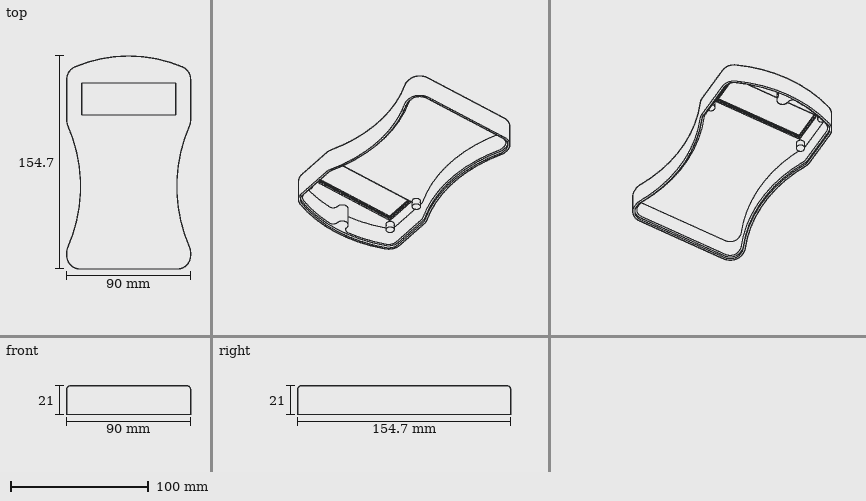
import cadquery as cq
import math

width = 90.0
height = 21.0
side_length = 144.0
top_arc_radius = 100.0
waist_inset = 10.0
waist_radius = 110.0
waist_y = 60.0
corner_radius = 10.0
rim_radius = 3.0
wall = 3.0
lid = 3.0

seat_depth = 2.0
seat_width = 1.5

window_width = 68.0
window_length = 23.0
window_y = 123.5
window_lip = 1.5
recess_margin = 1.0
standoff_spacing_x = 75.0
standoff_spacing_y = 31.0
standoff_diameter = 6.0
standoff_end_z = 12.5

boss_radius = 4.25
boss_y = 147.25
boss_blend_radius = 4.0

half_width = width / 2
top_arc_center_y = side_length - math.sqrt(top_arc_radius**2 - half_width**2)
top_y = top_arc_center_y + top_arc_radius
waist_half_width = half_width - waist_inset
waist_half_length = math.sqrt(waist_radius**2 - (waist_radius - waist_inset) ** 2)
waist_low_y = waist_y - waist_half_length
waist_high_y = waist_y + waist_half_length
cavity_top_z = height - lid


def body_block():
    """Full-height block with the waisted outline and rounded corners."""
    return (
        cq.Workplane("XY")
        .moveTo(-half_width, 0)
        .lineTo(half_width, 0)
        .lineTo(half_width, waist_low_y)
        .threePointArc((waist_half_width, waist_y), (half_width, waist_high_y))
        .lineTo(half_width, side_length)
        .threePointArc((0, top_y), (-half_width, side_length))
        .lineTo(-half_width, waist_high_y)
        .threePointArc((-waist_half_width, waist_y), (-half_width, waist_low_y))
        .close()
        .extrude(height)
        .edges("|Z")
        .fillet(corner_radius)
    )


def inset_prism(block, inset, depth):
    """Prism rising from the bottom face, its outline inset from the block's."""
    outline = block.faces("<Z").wires().val()
    inner_outline = outline.offset2D(-inset)[0]
    return cq.Workplane("XY").add(inner_outline).toPending().extrude(depth)


def cavity(block):
    """Space inside the walls, notched by the blended boss on the top arc."""
    boss = cq.Workplane("XY").center(0, boss_y).circle(boss_radius).extrude(cavity_top_z)
    boss_neck = (
        cq.Workplane("XY")
        .center(0, (boss_y + top_y) / 2)
        .rect(2 * boss_radius, top_y - boss_y)
        .extrude(cavity_top_z)
    )
    search_half_width = 1.5 * boss_radius
    neck_corners = cq.selectors.BoxSelector(
        (-search_half_width, boss_y + boss_radius / 2, 0),
        (search_half_width, top_y, cavity_top_z),
    )
    return (
        inset_prism(block, wall, cavity_top_z)
        .cut(boss.union(boss_neck))
        .edges("|Z")
        .edges(neck_corners)
        .fillet(boss_blend_radius)
    )


def window_cutter():
    """Through window plus the wider recess on the underside of the lid."""
    opening = (
        cq.Workplane("XY")
        .center(0, window_y)
        .rect(window_width, window_length)
        .extrude(height)
    )
    recess = (
        cq.Workplane("XY")
        .center(0, window_y)
        .rect(window_width + 2 * recess_margin, window_length + 2 * recess_margin)
        .extrude(height - window_lip)
    )
    return opening.union(recess)


def standoffs():
    """Four display posts hanging from the lid."""
    return (
        cq.Workplane("XY", origin=(0, window_y, standoff_end_z))
        .rect(standoff_spacing_x, standoff_spacing_y, forConstruction=True)
        .vertices()
        .circle(standoff_diameter / 2)
        .extrude(height - window_lip - standoff_end_z)
    )


block = body_block()
rounded_block = block.faces(">Z").edges().fillet(rim_radius)
result = (
    rounded_block
    .cut(cavity(block))
    .cut(inset_prism(block, wall - seat_width, seat_depth))
    .union(standoffs())
    .cut(window_cutter())
)